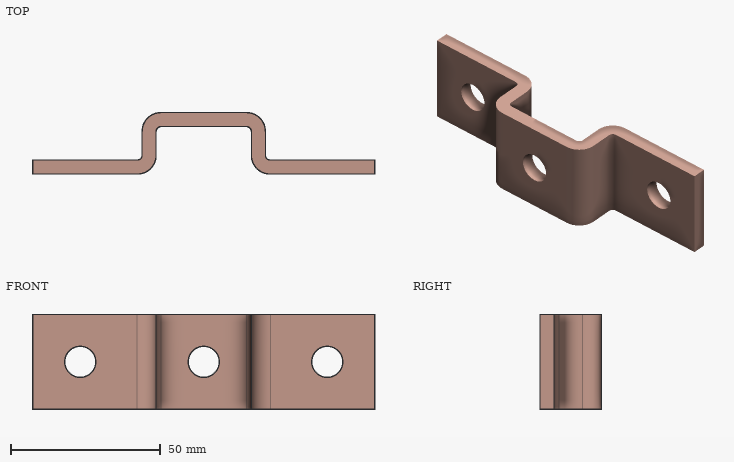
import cadquery as cq

length = 114.3
strip_width = 31.75
thickness = 4.7625
hat_depth = 15.875
hat_inner_width = 31.75
inner_bend_radius = 1.5875
hole_diameter = 10.32
hole_count = 3
hole_spacing = 41.275

outer_bend_radius = inner_bend_radius + thickness
total_depth = hat_depth + thickness
half_length = length / 2
half_inner = hat_inner_width / 2
half_outer = half_inner + thickness


def bent_strip():
    """Hat-shaped strip, extruded along Z and centred on Z = 0."""
    right_half = [
        (half_inner, hat_depth),
        (half_inner, 0),
        (half_length, 0),
        (half_length, thickness),
        (half_outer, thickness),
        (half_outer, total_depth),
    ]
    left_half = [(-x, y) for x, y in reversed(right_half)]
    return (
        cq.Workplane("XY")
        .polyline(right_half + left_half)
        .close()
        .extrude(strip_width / 2, both=True)
    )


def round_bends(strip):
    """Round both sides of each of the four bends concentrically."""
    inner_corners = [(half_inner, hat_depth), (half_outer, thickness)]
    outer_corners = [(half_inner, 0), (half_outer, total_depth)]
    for corners, radius in ((inner_corners, inner_bend_radius), (outer_corners, outer_bend_radius)):
        for x, y in corners:
            for side in (-1, 1):
                bend_edge = cq.selectors.NearestToPointSelector((side * x, y, 0))
                strip = strip.edges("|Z").edges(bend_edge).fillet(radius)
    return strip


def bolt_holes():
    """Cylinders along Y through both flanges and the crown."""
    return (
        cq.Workplane("XZ")
        .rarray(hole_spacing, 1, hole_count, 1)
        .circle(hole_diameter / 2)
        .extrude(-total_depth)
    )


result = round_bends(bent_strip()).cut(bolt_holes())